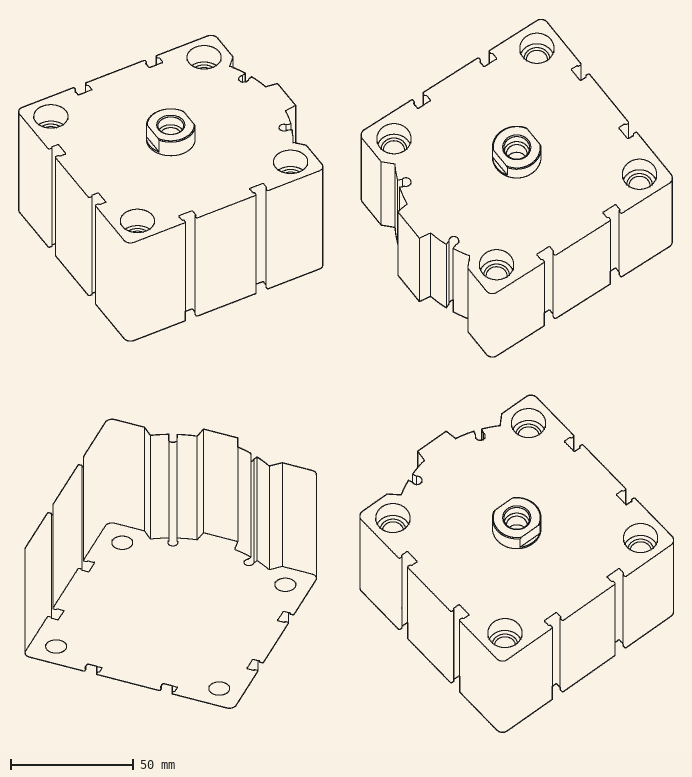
import cadquery as cq
import math

block_side = 93.0
block_height = 55.0
half_side = block_side / 2
corner_radius = 3.0

total_depth = 101.0
tab_back = total_depth - half_side
tab_half_width_tip = 7.6
tab_half_width_root = 8.3
crown_radius = 50.0
pad_inner_edge = 30.4
pad_bevel_run = 4.1

sensor_groove_diameter = 4.0
sensor_groove_distance = 46.9
sensor_groove_angle = 21.0
sensor_mouth_width = 3.3
sensor_mouth_length = 6.1

slot_offset = 16.7
slot_mouth_width = 5.2
slot_pocket_width = 6.5
slot_depth = 4.8
slot_lip = 1.7
slot_edge_radius = 0.5
slot_corner_radius = 0.3

mount_spacing = 72.0
mount_offset = mount_spacing / 2
mount_diameter = 8.6
mount_bore_diameter = 14.0
mount_bore_depth = 9.2
mount_sink_diameter = 10.5

rod_diameter = 20.0
rod_projection = 8.0
rod_insertion = 20.2
rod_chamfer = 0.4
flat_spacing = 17.0
flat_start = 1.0
rod_bore_diameter = 10.5
rod_bore_depth = 4.8
rod_bore_chamfer = 0.5
rod_pilot_diameter = 8.4
rod_pilot_depth = 12.1

drill_half_angle = math.radians(60)
pick_margin = 1.0


def cone_height(large_diameter, small_diameter=0.0):
    """Height of a drill-point cone between two diameters."""
    return (large_diameter - small_diameter) / 2 / math.tan(drill_half_angle)


def crown_y(x):
    """Y of the crown arc at a given X."""
    return math.sqrt(crown_radius**2 - x**2)


def block_body():
    """Extruded block outline with the crown and tab on its rear side."""
    valley_x = pad_inner_edge - pad_bevel_run
    valley_y = crown_y(valley_x)
    root_y = crown_y(tab_half_width_root)
    arc_mid_x = (valley_x + tab_half_width_root) / 2
    arc_mid_y = crown_y(arc_mid_x)
    body = (
        cq.Workplane("XY")
        .moveTo(-half_side, -half_side)
        .lineTo(half_side, -half_side)
        .lineTo(half_side, half_side)
        .lineTo(pad_inner_edge, half_side)
        .lineTo(valley_x, valley_y)
        .threePointArc((arc_mid_x, arc_mid_y), (tab_half_width_root, root_y))
        .lineTo(tab_half_width_tip, tab_back)
        .lineTo(-tab_half_width_tip, tab_back)
        .lineTo(-tab_half_width_root, root_y)
        .threePointArc((-arc_mid_x, arc_mid_y), (-valley_x, valley_y))
        .lineTo(-pad_inner_edge, half_side)
        .lineTo(-half_side, half_side)
        .close()
        .extrude(block_height)
    )
    for x in (-half_side, half_side):
        for y in (-half_side, half_side):
            near_corner = cq.selectors.BoxSelector(
                (x - pick_margin, y - pick_margin, -pick_margin),
                (x + pick_margin, y + pick_margin, block_height + pick_margin),
            )
            body = body.edges("|Z").edges(near_corner).fillet(corner_radius)
    return body


def t_slot(offset):
    """T-slot cutter opening through the -Y side, with rounded mouth and pocket edges."""
    mouth = slot_mouth_width / 2
    pocket = slot_pocket_width / 2
    flare = mouth + slot_edge_radius
    lip_y = -half_side + slot_lip
    floor_y = -half_side + slot_depth
    round_y = -half_side + slot_edge_radius
    slot = (
        cq.Workplane("XY")
        .moveTo(offset - flare, -half_side)
        .radiusArc((offset - mouth, round_y), -slot_edge_radius)
        .lineTo(offset - mouth, lip_y)
        .lineTo(offset - pocket, lip_y)
        .lineTo(offset - pocket, floor_y)
        .lineTo(offset + pocket, floor_y)
        .lineTo(offset + pocket, lip_y)
        .lineTo(offset + mouth, lip_y)
        .lineTo(offset + mouth, round_y)
        .radiusArc((offset + flare, -half_side), -slot_edge_radius)
        .close()
        .extrude(block_height)
    )
    inner_edges = cq.selectors.BoxSelector(
        (offset - half_side, round_y + slot_edge_radius, -pick_margin),
        (offset + half_side, 0, block_height + pick_margin),
    )
    return slot.edges("|Z").edges(inner_edges).fillet(slot_corner_radius)


def sensor_groove(angle):
    """Round groove with a parallel mouth running radially out of the crown."""
    groove = (
        cq.Workplane("XY")
        .center(0, sensor_groove_distance)
        .circle(sensor_groove_diameter / 2)
        .extrude(block_height)
    )
    mouth = (
        cq.Workplane("XY")
        .center(0, sensor_groove_distance + sensor_mouth_length / 2)
        .rect(sensor_mouth_width, sensor_mouth_length)
        .extrude(block_height)
    )
    return groove.union(mouth).rotate((0, 0, 0), (0, 0, 1), angle)


def mounting_hole(x, y):
    """Through hole with a countersunk shoulder below a deep counterbore."""
    shoulder_z = block_height - mount_bore_depth
    sink_z = shoulder_z - cone_height(mount_sink_diameter, mount_diameter)
    profile = (
        cq.Workplane("XZ")
        .moveTo(0, 0)
        .lineTo(mount_diameter / 2, 0)
        .lineTo(mount_diameter / 2, sink_z)
        .lineTo(mount_sink_diameter / 2, shoulder_z)
        .lineTo(mount_bore_diameter / 2, shoulder_z)
        .lineTo(mount_bore_diameter / 2, block_height)
        .lineTo(0, block_height)
        .close()
    )
    return profile.revolve(360, (0, 0, 0), (0, 1, 0)).translate((x, y, 0))


def rod_cylinder():
    """Plain rod blank, from the bottom of its seat to its end face."""
    return (
        cq.Workplane("XY")
        .workplane(offset=block_height - rod_insertion)
        .circle(rod_diameter / 2)
        .extrude(rod_insertion + rod_projection)
    )


def make_housing():
    housing = block_body()
    for side_angle in (-90, 0, 90):
        for offset in (-slot_offset, slot_offset):
            slot = t_slot(offset).rotate((0, 0, 0), (0, 0, 1), side_angle)
            housing = housing.cut(slot)
    for angle in (-sensor_groove_angle, sensor_groove_angle):
        housing = housing.cut(sensor_groove(angle))
    for x in (-mount_offset, mount_offset):
        for y in (-mount_offset, mount_offset):
            housing = housing.cut(mounting_hole(x, y))
    return housing.cut(rod_cylinder())


def rod_end_hole():
    """Blind hole in the rod end: chamfer, wide bore, narrower pilot and drill point."""
    top_z = block_height + rod_projection
    bore_z = top_z - rod_bore_depth
    step_z = bore_z - cone_height(rod_bore_diameter, rod_pilot_diameter)
    pilot_z = top_z - rod_pilot_depth
    tip_z = pilot_z - cone_height(rod_pilot_diameter)
    bore_radius = rod_bore_diameter / 2
    return (
        cq.Workplane("XZ")
        .moveTo(0, tip_z)
        .lineTo(rod_pilot_diameter / 2, pilot_z)
        .lineTo(rod_pilot_diameter / 2, step_z)
        .lineTo(bore_radius, bore_z)
        .lineTo(bore_radius, top_z - rod_bore_chamfer)
        .lineTo(bore_radius + rod_bore_chamfer, top_z)
        .lineTo(0, top_z)
        .close()
        .revolve(360, (0, 0, 0), (0, 1, 0))
    )


def make_rod():
    rod = rod_cylinder().faces(">Z").chamfer(rod_chamfer)
    flat_cut_depth = (rod_diameter - flat_spacing) / 2
    for side in (-1, 1):
        flat_cut = (
            cq.Workplane("XY")
            .workplane(offset=block_height + flat_start)
            .center(0, side * (flat_spacing + flat_cut_depth) / 2)
            .rect(rod_diameter, flat_cut_depth)
            .extrude(rod_projection - flat_start)
        )
        rod = rod.cut(flat_cut)
    return rod.cut(rod_end_hole())


housing = make_housing()
rod = make_rod()

result = cq.Compound.makeCompound([housing.val(), rod.val()])